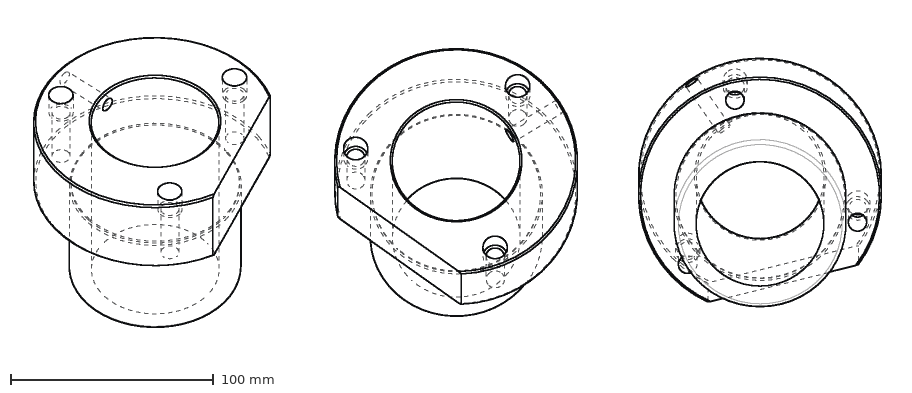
import cadquery as cq
import math

flange_diameter = 119.9
flange_height = 42.0
flange_chamfer = 1.0
flat_distance = 46.0

total_height = 102.0
shank_diameter = 84.9
shank_end_fillet = 2.0
neck_diameter = 83.2
neck_height = 1.2
neck_bevel = (shank_diameter - neck_diameter) / 2

bore_diameter = 63.0
bore_chamfer = 1.0

bolt_count = 3
bolt_circle_radius = 50.0
bolt_hole_diameter = 9.0
counterbore_diameter = 12.0
counterbore_depth = 12.0

side_hole_diameter = 7.0
side_hole_drop = 9.0
side_hole_angle = 160

shank_length = total_height - flange_height
flange_radius = flange_diameter / 2
shank_radius = shank_diameter / 2
neck_radius = neck_diameter / 2
bore_radius = bore_diameter / 2


def turned_body():
    """Revolve the half section, bore included, about the Z axis."""
    shoulder = shank_length - neck_height
    half_section = (
        cq.Workplane("XZ")
        .moveTo(bore_radius, 0)
        .lineTo(shank_radius - shank_end_fillet, 0)
        .radiusArc((shank_radius, shank_end_fillet), -shank_end_fillet)
        .lineTo(shank_radius, shoulder - neck_bevel)
        .lineTo(neck_radius, shoulder)
        .lineTo(neck_radius, shank_length)
        .lineTo(flange_radius - flange_chamfer, shank_length)
        .lineTo(flange_radius, shank_length + flange_chamfer)
        .lineTo(flange_radius, total_height - flange_chamfer)
        .lineTo(flange_radius - flange_chamfer, total_height)
        .lineTo(bore_radius + bore_chamfer, total_height)
        .lineTo(bore_radius, total_height - bore_chamfer)
        .close()
    )
    return half_section.revolve(360, (0, 0), (0, 1))


def flat_cutter():
    """Block that removes the flange beyond the flat."""
    return cq.Workplane("XY").box(
        flange_diameter, flange_diameter, total_height, centered=(False, True, False)
    ).translate((flat_distance, 0, 0))


def drill_mounting_holes(body):
    """Counterbored holes evenly spaced from the -X side."""
    return (
        body.faces(">Z")
        .workplane(origin=(0, 0, total_height))
        .polarArray(bolt_circle_radius, 180, 360, bolt_count)
        .cboreHole(bolt_hole_diameter, counterbore_diameter, counterbore_depth)
    )


def side_hole_cutter():
    """Cylinder from the rim to the axis, opening into the bore."""
    angle = math.radians(side_hole_angle)
    outward = cq.Vector(math.cos(angle), math.sin(angle), 0)
    height = cq.Vector(0, 0, total_height - side_hole_drop)
    start = outward * flange_radius + height
    return cq.Solid.makeCylinder(side_hole_diameter / 2, flange_radius, start, outward * -1)


body = turned_body().cut(flat_cutter())
body = drill_mounting_holes(body)
result = body.cut(cq.Workplane(side_hole_cutter()))